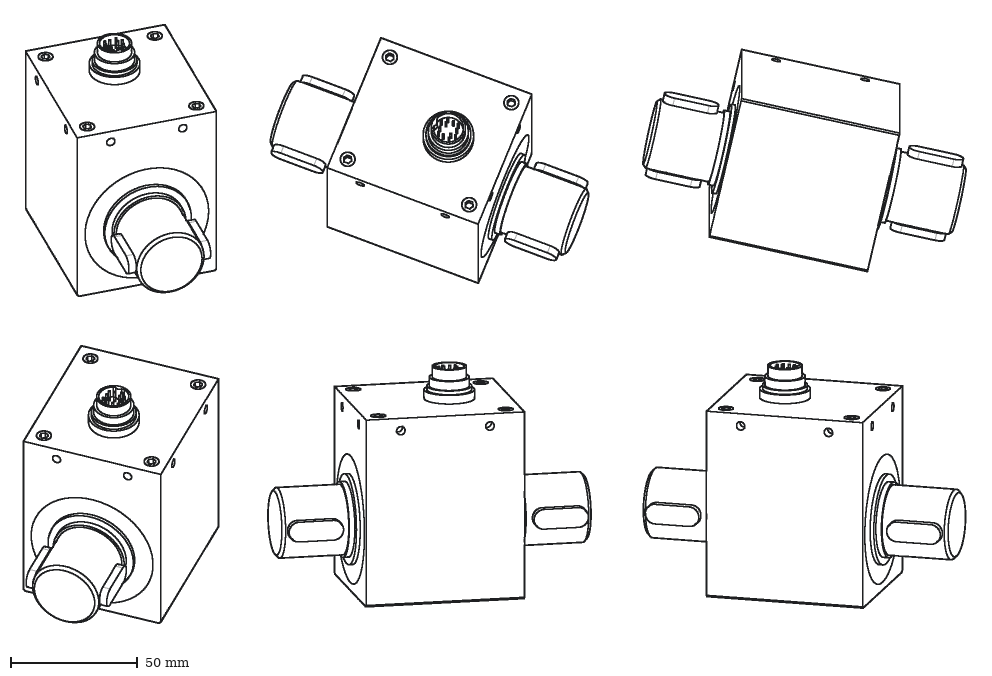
import cadquery as cq
import math

SHAFT_LENGTH = 125.0
HOUSING_LENGTH = 64.0
HOUSING_WIDTH = 58.0
HOUSING_HEIGHT = 76.0
BOTTOM_CHAMFER = 0.8
HOUSING_BOTTOM = -HOUSING_WIDTH / 2
HOUSING_TOP = HOUSING_BOTTOM + HOUSING_HEIGHT

DRUM_DIAMETER = 51.5
LARGE_COLLAR_DIAMETER = 36.0
LARGE_COLLAR_WIDTH = 1.5
SMALL_COLLAR_DIAMETER = 30.0
SMALL_COLLAR_WIDTH = 2.2
JOURNAL_DIAMETER = 28.0
JOURNAL_CHAMFER = 1.2

KEY_LENGTH = 22.0
KEY_WIDTH = 8.0
KEY_TO_SHAFT_END = 2.0
SPAN_ACROSS_KEYS = 34.0
KEY_EMBEDMENT = 0.1

WALL_HOLE_DIAMETER = 3.4
WALL_HOLE_DEPTH = 5.0
DRILL_POINT_ANGLE = 118.0
WALL_HOLE_BELOW_TOP = 5.0
FRONT_HOLE_SPACING = 36.0
END_HOLE_SPACING = 30.0

SCREW_SPACING_X = 51.5
SCREW_SPACING_Y = 45.5
SCREW_HEAD_DIAMETER = 5.8
SCREW_RECESS_DIAMETER = 5.9
SCREW_RECESS_DEPTH = 1.2
SOCKET_ACROSS_FLATS = 3.0
SOCKET_DEPTH = 2.5

CONNECTOR_X = -8.0
CONNECTOR_TIERS = [(20.0, 3.5), (17.8, 1.5), (15.9, 3.6), (13.5, 4.4)]
CONNECTOR_HEIGHT = sum(height for _, height in CONNECTOR_TIERS)
CUP_DIAMETER = 11.9
CUP_DEPTH = 5.0
CUP_FLAT_OFFSET = 5.5
CODING_RIB_DIAMETER = 2.9
CODING_RIB_OFFSET = 6.2
PIN_DIAMETER = 0.76
PIN_HEIGHT = 4.5
HALF_PIN_PLACES = [(1.8, -1.9), (3.8, -1.9), (1.8, -3.8), (3.0, 3.0), (0.9, 3.2), (3.2, 0.9)]


def mirrored_pair(solid, plane):
    """Join a shape with its mirror image in a plane through the origin."""
    return solid.union(solid.mirror(plane))


def wall_hole():
    """Drill shape entering along +Z from the origin, with a conical tip."""
    radius = WALL_HOLE_DIAMETER / 2
    tip = radius / math.tan(math.radians(DRILL_POINT_ANGLE / 2))
    profile = [(0, 0), (radius, 0), (radius, WALL_HOLE_DEPTH), (0, WALL_HOLE_DEPTH + tip)]
    return cq.Workplane("XZ").polyline(profile).close().revolve(360, (0, 0, 0), (0, 1, 0))


def wall_holes():
    """Two blind holes in each of the four side walls."""
    z = HOUSING_TOP - WALL_HOLE_BELOW_TOP
    along_y = wall_hole().rotate((0, 0, 0), (1, 0, 0), -90)
    along_x = wall_hole().rotate((0, 0, 0), (0, 1, 0), 90)
    front = along_y.translate((FRONT_HOLE_SPACING / 2, -HOUSING_WIDTH / 2, z))
    end = along_x.translate((-HOUSING_LENGTH / 2, END_HOLE_SPACING / 2, z))
    one_corner = front.union(end)
    return mirrored_pair(mirrored_pair(one_corner, "YZ"), "XZ")


def screw_cuts():
    """Clearance ring and hexagonal socket of each screw head."""
    socket_across_corners = SOCKET_ACROSS_FLATS / math.cos(math.pi / 6)
    top = cq.Workplane("XY", origin=(0, 0, HOUSING_TOP)).rarray(SCREW_SPACING_X, SCREW_SPACING_Y, 2, 2)
    recesses = top.circle(SCREW_RECESS_DIAMETER / 2).extrude(-SCREW_RECESS_DEPTH)
    heads = top.circle(SCREW_HEAD_DIAMETER / 2).extrude(-SCREW_RECESS_DEPTH)
    sockets = top.polygon(6, socket_across_corners).extrude(-SOCKET_DEPTH)
    return recesses.cut(heads).union(sockets)


def make_housing():
    block = (
        cq.Workplane("XY", origin=(0, 0, HOUSING_BOTTOM))
        .box(HOUSING_LENGTH, HOUSING_WIDTH, HOUSING_HEIGHT, centered=(True, True, False))
        .edges("|X and <Z")
        .chamfer(BOTTOM_CHAMFER)
    )
    bore = cq.Workplane("YZ").circle(DRUM_DIAMETER / 2).extrude(HOUSING_LENGTH / 2, both=True)
    return block.cut(bore).cut(wall_holes()).cut(screw_cuts())


def shaft_section(diameter, half_length):
    return cq.Workplane("YZ").circle(diameter / 2).extrude(half_length, both=True)


def make_keys():
    """The four flat-bottomed keys, two on each journal."""
    center_x = SHAFT_LENGTH / 2 - KEY_TO_SHAFT_END - KEY_LENGTH / 2
    underside = JOURNAL_DIAMETER / 2 - KEY_EMBEDMENT
    key = (
        cq.Workplane("XZ", origin=(center_x, -underside, 0))
        .slot2D(KEY_LENGTH, KEY_WIDTH)
        .extrude(SPAN_ACROSS_KEYS / 2 - underside)
    )
    return mirrored_pair(mirrored_pair(key, "YZ"), "XZ")


def make_shaft():
    drum_end = HOUSING_LENGTH / 2
    large_collar_end = drum_end + LARGE_COLLAR_WIDTH
    small_collar_end = large_collar_end + SMALL_COLLAR_WIDTH
    journals = shaft_section(JOURNAL_DIAMETER, SHAFT_LENGTH / 2).edges().chamfer(JOURNAL_CHAMFER)
    return (
        journals.union(shaft_section(DRUM_DIAMETER, drum_end))
        .union(shaft_section(LARGE_COLLAR_DIAMETER, large_collar_end))
        .union(shaft_section(SMALL_COLLAR_DIAMETER, small_collar_end))
        .union(make_keys())
    )


def connector_cup(floor):
    """Round cavity with a flat on its +X side and a rounded coding rib standing on that flat."""
    cavity = floor.circle(CUP_DIAMETER / 2).extrude(CUP_DEPTH)
    beyond_flat = (
        floor.center(CUP_FLAT_OFFSET, 0)
        .rect(CUP_DIAMETER, CUP_DIAMETER, centered=(False, True))
        .extrude(CUP_DEPTH)
    )
    coding_rib = floor.center(CODING_RIB_OFFSET, 0).circle(CODING_RIB_DIAMETER / 2).extrude(CUP_DEPTH)
    return cavity.cut(beyond_flat).cut(coding_rib)


def make_connector():
    body = cq.Workplane("XY")
    tier_bottom = 0
    for diameter, height in CONNECTOR_TIERS:
        tier = cq.Workplane("XY", origin=(0, 0, tier_bottom)).circle(diameter / 2).extrude(height)
        body = body.union(tier)
        tier_bottom += height

    floor = cq.Workplane("XY", origin=(0, 0, CONNECTOR_HEIGHT - CUP_DEPTH))
    cup = connector_cup(floor)
    pin_places = HALF_PIN_PLACES + [(-x, -y) for x, y in HALF_PIN_PLACES]
    pins = floor.pushPoints(pin_places).circle(PIN_DIAMETER / 2).extrude(PIN_HEIGHT)
    return body.cut(cup).union(pins).translate((CONNECTOR_X, 0, HOUSING_TOP))


housing = make_housing()
shaft = make_shaft()
connector = make_connector()

result = cq.Compound.makeCompound(
    [housing.solids().val(), shaft.solids().val(), connector.solids().val()]
)